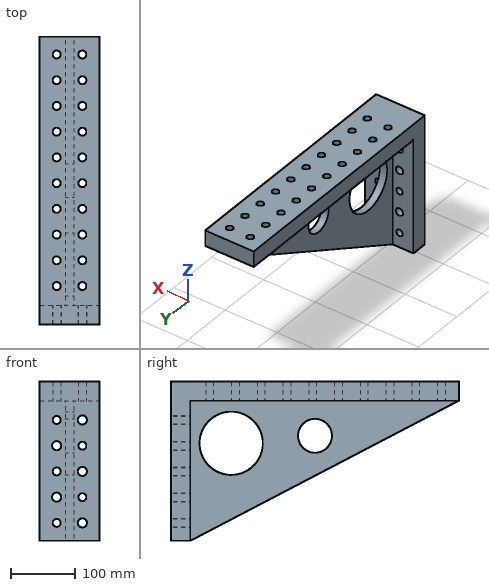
import cadquery as cq

width = 94.0
length = 448.0
height = 248.0
plate_thickness = 30.0
web_thickness = 14.0

row_span = 360.0
top_rows = 10
pitch = row_span / (top_rows - 1)
column_positions = (-pitch / 2, pitch / 2)
top_first_row = 60.0
top_hole_diameter = 12.0
front_rows = 5
front_first_row = 60.0
small_hole_diameter = 12.0
large_hole_diameter = 14.0

large_opening = (93.5, 96.5, 98.0)
small_opening = (224.0, 84.5, 52.5)


def make_plate(size_y, size_z):
    """Full-width plate starting at the top front edge."""
    plate = cq.Workplane("XY").box(width, size_y, size_z, centered=(True, False, False))
    return plate.translate((0, 0, -size_z))


def make_web():
    """Triangular web centred between the columns of holes."""
    outline = [
        (plate_thickness, -plate_thickness),
        (length, -plate_thickness),
        (plate_thickness, -height),
    ]
    web = cq.Workplane("YZ").polyline(outline).close().extrude(web_thickness / 2, both=True)
    for distance, depth, diameter in (large_opening, small_opening):
        cutter = cq.Workplane("YZ").center(distance, -depth).circle(diameter / 2).extrude(width, both=True)
        web = web.cut(cutter)
    return web


def drill_top_plate(plate):
    points = [(x, top_first_row + row * pitch) for x in column_positions for row in range(top_rows)]
    cutters = cq.Workplane("XY").pushPoints(points).circle(top_hole_diameter / 2).extrude(-plate_thickness)
    return plate.cut(cutters)


def drill_front_plate(plate):
    """Small and large holes alternate along each column and across each row."""
    for column, x in enumerate(column_positions):
        for row in range(front_rows):
            z = -front_first_row - row * pitch
            diameter = large_hole_diameter if (row + column) % 2 else small_hole_diameter
            cutter = cq.Workplane("XZ").center(x, z).circle(diameter / 2).extrude(-plate_thickness)
            plate = plate.cut(cutter)
    return plate


top_plate = drill_top_plate(make_plate(length, plate_thickness))
front_plate = drill_front_plate(make_plate(plate_thickness, height))
result = top_plate.union(front_plate).union(make_web())